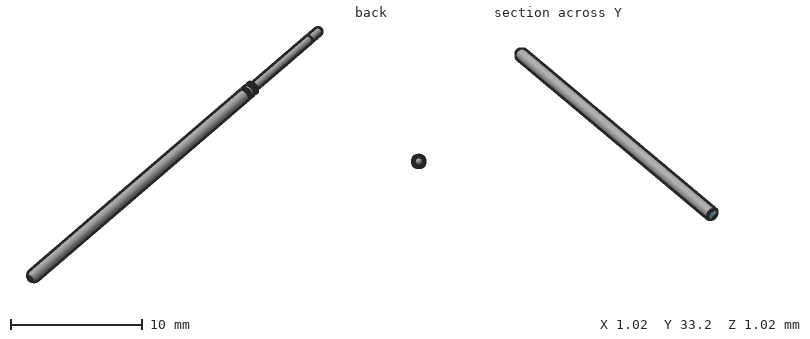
import cadquery as cq

total_length = 33.1
tail_y = -total_length / 2
tip_y = total_length / 2

barrel_diameter = 1.02
barrel_radius = barrel_diameter / 2
barrel_length = 25.4
mouth_y = tail_y + barrel_length
tail_flat_radius = 0.25
dome_length = (barrel_radius**2 - tail_flat_radius**2) ** 0.5
dome_center_y = tail_y + dome_length

groove_half_width = 0.13
groove_depth = 0.075
groove_setbacks = (0.28, 0.88)

shaft_radius = 0.345
nose_radius = 0.335
nose_section_length = 1.3
nose_rounding = 0.325
shoulder_y = tip_y - nose_section_length


def cylinder(radius, start_y, end_y):
    """Solid cylinder on the Y axis between two stations."""
    plane = cq.Plane(origin=(0, start_y, 0), xDir=(1, 0, 0), normal=(0, 1, 0))
    return cq.Workplane(plane).circle(radius).extrude(end_y - start_y)


def make_barrel():
    """Straight body joined to the truncated sphere at the tail."""
    body = cylinder(barrel_radius, dome_center_y, mouth_y)
    ball = cq.Workplane("XY").sphere(barrel_radius).translate((0, dome_center_y, 0))
    dome = ball.intersect(cylinder(barrel_radius, tail_y, dome_center_y))
    return body.union(dome)


def make_crimp_groove(center_y):
    """Ring of triangular section, mirrored outside the barrel so that it cuts cleanly."""
    return (
        cq.Workplane("XY")
        .moveTo(barrel_radius - groove_depth, center_y)
        .lineTo(barrel_radius, center_y + groove_half_width)
        .lineTo(barrel_radius + groove_depth, center_y)
        .lineTo(barrel_radius, center_y - groove_half_width)
        .close()
        .revolve(360, (0, 0, 0), (0, 1, 0))
    )


def make_plunger():
    """Shaft from the barrel mouth, then the nose section with its rounded tip."""
    shaft = cylinder(shaft_radius, mouth_y, shoulder_y)
    nose = cylinder(nose_radius, shoulder_y, tip_y)
    nose = nose.faces(">Y").edges().fillet(nose_rounding)
    return shaft.union(nose)


barrel = make_barrel()
for setback in groove_setbacks:
    barrel = barrel.cut(make_crimp_groove(mouth_y - setback))

result = barrel.union(make_plunger())